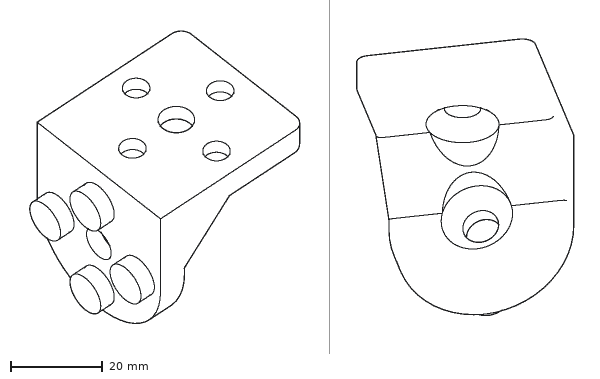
import cadquery as cq


width = 40.0
leg_length = 43.0
thickness = 8.0
gusset_leg = 13.0
corner_radius = 3.0
edge_radius = 1.5

bore_diameter = 8.0
sink_diameter = 16.0
sink_depth = (sink_diameter - bore_diameter) / 2
pattern_radius = 13.0
socket_diameter = 6.0
socket_depth = 3.5

stud_diameter = 10.0
stud_height = 4.0

round_radius = width / 2
pattern_offset = leg_length - round_radius
pattern_points = [
    (pattern_radius, 0),
    (0, pattern_radius),
    (-pattern_radius, 0),
    (0, -pattern_radius),
]


def shelf_plane(depth=0):
    """Plane below the shelf top, centred on the shelf bore, facing down."""
    return cq.Plane(origin=(0, pattern_offset, -depth), xDir=(1, 0, 0), normal=(0, 0, -1))


def front_plane(depth=0):
    """Plane behind the front face, centred on the front bore, facing back."""
    return cq.Plane(origin=(0, depth, -pattern_offset), xDir=(1, 0, 0), normal=(0, 1, 0))


def make_shelf():
    """Top plate with round rear corners, its lower rim rounded except along the front."""
    shelf = (
        cq.Workplane("XY")
        .box(width, leg_length, thickness, centered=(True, False, False))
        .translate((0, 0, -thickness))
        .edges("|Z and >Y")
        .fillet(corner_radius)
    )
    return shelf.faces("<Z").edges("not <Y").fillet(edge_radius)


def make_front_plate():
    """Front plate with a round lower end, its back rim rounded except along the top."""
    plate = (
        cq.Workplane("XZ")
        .moveTo(-width / 2, 0)
        .lineTo(width / 2, 0)
        .lineTo(width / 2, -pattern_offset)
        .threePointArc((0, -leg_length), (-width / 2, -pattern_offset))
        .close()
        .extrude(-thickness)
    )
    return plate.faces(">Y").edges("not >Z").fillet(edge_radius)


def make_gusset():
    """Full-width 45 degree wedge between the legs, its sloping face rounded at both sides."""
    slope_reach = 2 * thickness + gusset_leg
    slope_end = slope_reach - pattern_offset
    wedge = (
        cq.Workplane("YZ")
        .polyline([(0, 0), (slope_reach, 0), (slope_end, -pattern_offset), (0, -pattern_offset)])
        .close()
        .extrude(width / 2, both=True)
    )
    slope = cq.DirectionMinMaxSelector(cq.Vector(0, 1, -1))
    return wedge.faces(slope).edges("<X or >X").fillet(edge_radius)


def make_bracket():
    bracket = make_shelf().union(make_front_plate()).union(make_gusset()).clean()
    for leg_plane in (shelf_plane, front_plane):
        bore = cq.Workplane(leg_plane()).circle(bore_diameter / 2).extrude(leg_length)
        sink_start = leg_plane(thickness - sink_depth)
        countersink = cq.Workplane(
            cq.Solid.makeCone(
                bore_diameter / 2,
                sink_diameter / 2,
                sink_depth,
                pnt=sink_start.origin,
                dir=sink_start.zDir,
            )
        )
        clearance = cq.Workplane(leg_plane(thickness)).circle(sink_diameter / 2).extrude(leg_length)
        bracket = bracket.cut(bore).cut(countersink).cut(clearance)
    sockets = (
        cq.Workplane(shelf_plane())
        .pushPoints(pattern_points)
        .circle(socket_diameter / 2)
        .extrude(socket_depth)
    )
    return bracket.cut(sockets)


def make_stud(x, y):
    """Round stud standing on the front face at a point of the hole pattern."""
    return cq.Workplane(front_plane()).center(x, y).circle(stud_diameter / 2).extrude(-stud_height)


bracket = make_bracket()
studs = [make_stud(x, y) for x, y in pattern_points]

result = cq.Compound.makeCompound([bracket.val(), *[stud.val() for stud in studs]])